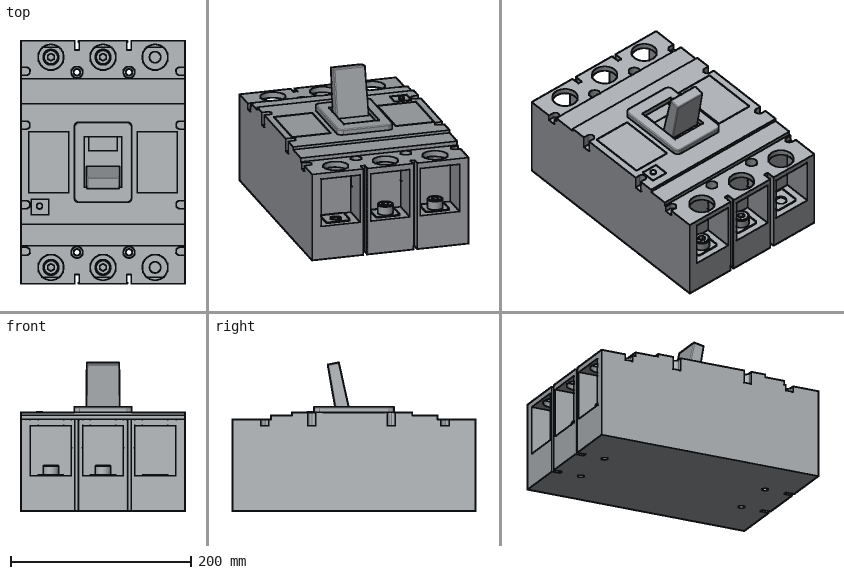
import cadquery as cq

width = 182.0
length = 270
half_width = width / 2
half_length = length / 2

terminal_top = 101.8
shoulder_top = 106.5
deck_top = 109.5
top_steps = [
    (terminal_top, -half_length, half_length),
    (shoulder_top, -92.3, 93.0),
    (deck_top, -68.8, 64.8),
]

pole_pitch = 57.8
pole_columns = [-pole_pitch, 0, pole_pitch]
screw_columns = [-pole_pitch, 0]
ends = [-1, 1]
sides = [-1, 1]
terminal_y = 116.6

tunnel_width = 45.4
tunnel_floor = 39.2
tunnel_roof = 95.0
tunnel_depth = 34.0
access_diameter = 28.4

pad_width = 27.8
pad_outer_y = 127.5
pad_inner_y = 102.3
pad_height = 1.0
pad_corner = 2.7
pad_hole_diameter = 12.5
pad_hole_depth = 2.2

screw_diameter = 17.3
screw_height = 12.0
screw_edge = 1.0
socket_diameter = 8.0
socket_depth = 5.5

slot_width = 4.9
slot_depth = 10.3
slot_x = pole_pitch / 2
bead_radius = 0.8

mount_y = 100.0
mount_diameter = 7.0
mount_bore_diameter = 12.7
mount_bore_depth = 31.5

notch_rows = [-98.8, -47.0, 41.3, 101.0]
notch_width = 9.0
notch_depth = 10.0
notch_corner = 4.3
notch_floor = 95.0

mark_depth = 0.5
label_width = 44.5
label_length = 68.0
label_x = 60.2

indicator_width = 19.5
indicator_length = 17.5
indicator_x = -69.7
indicator_y = -49.7
button_x = -70.5
button_y = -48.5
button_diameter = 6.5
button_top = deck_top + 0.8

bezel_width = 64.3
bezel_length = 89.0
bezel_top = 116.0
bezel_corner = 6.0
bezel_edge = 1.0
window_width = 41.3
window_front = -27.8
window_back = 28.4
window_floor = 110.5
on_mark_width = 31.9
on_mark_length = 15.5
on_mark_depth = 0.14

handle_root_width = 37.5
handle_tip_width = 36.5
handle_edge = 1.0
handle_root_front = -20.2
handle_root_back = -4.5
handle_tip_front = -29.5
handle_tip_back = -16.7
handle_tip_front_z = 162.8
handle_tip_back_z = 165.2


def block(x_size, y_size, bottom, top, x=0, y=0):
    """Upright box centred on (x, y), from height bottom to height top."""
    return (
        cq.Workplane("XY", origin=(x, y, bottom))
        .rect(x_size, y_size)
        .extrude(top - bottom)
    )


def cylinder(diameter, bottom, top, x, y):
    """Upright cylinder centred on (x, y), from height bottom to height top."""
    return cq.Workplane("XY", origin=(x, y, bottom)).circle(diameter / 2).extrude(top - bottom)


def make_stepped_block():
    body = None
    for top, front, back in top_steps:
        step = block(width, back - front, 0, top, y=(front + back) / 2)
        body = step if body is None else body.union(step)
    return body


def add_bezel(body):
    bezel = block(bezel_width, bezel_length, deck_top, bezel_top)
    bezel = bezel.edges("|Z").fillet(bezel_corner).faces(">Z").edges().fillet(bezel_edge)
    window = block(
        window_width,
        window_back - window_front,
        window_floor,
        bezel_top,
        y=(window_front + window_back) / 2,
    )
    on_mark = block(
        on_mark_width,
        on_mark_length,
        window_floor - on_mark_depth,
        window_floor,
        y=window_back - on_mark_length / 2,
    )
    return body.union(bezel).cut(window).cut(on_mark)


def cut_terminals(body):
    """Cuts the open tunnel of each pole and the round access hole above it."""
    for end in ends:
        for x in pole_columns:
            tunnel_y = end * (half_length - tunnel_depth / 2)
            body = body.cut(block(tunnel_width, tunnel_depth, tunnel_floor, tunnel_roof, x, tunnel_y))
            body = body.cut(cylinder(access_diameter, tunnel_roof, terminal_top, x, end * terminal_y))
    return body


def add_pads(body):
    """Adds a contact pad with a screw hole to the floor of each tunnel."""
    pad_top = tunnel_floor + pad_height
    for end in ends:
        for x in pole_columns:
            pad_y = end * (pad_outer_y + pad_inner_y) / 2
            pad = block(pad_width, pad_outer_y - pad_inner_y, tunnel_floor, pad_top, x, pad_y)
            pad = pad.edges("|Z").fillet(pad_corner)
            hole = cylinder(pad_hole_diameter, pad_top - pad_hole_depth, pad_top, x, end * terminal_y)
            body = body.union(pad).cut(hole)
    return body


def add_screws(body):
    """Adds hexagon-socket screw heads, filling the pad holes of the poles that have screws."""
    screw_bottom = tunnel_floor + pad_height - pad_hole_depth
    screw_top = tunnel_floor + screw_height
    for end in ends:
        for x in screw_columns:
            y = end * terminal_y
            screw = cylinder(screw_diameter, screw_bottom, screw_top, x, y)
            screw = screw.faces(">Z").edges().chamfer(screw_edge)
            socket = (
                cq.Workplane("XY", origin=(x, y, screw_top))
                .transformed(rotate=(0, 0, 90))
                .polygon(6, socket_diameter)
                .extrude(-socket_depth)
            )
            body = body.union(screw.cut(socket))
    return body


def cut_slots(body):
    """Cuts the slots between the poles, leaving a bead at the mouth on the middle pole."""
    for end in ends:
        for side in sides:
            slot_y = end * (half_length - slot_depth / 2)
            slot = block(slot_width, slot_depth, 0, terminal_top, side * slot_x, slot_y)
            bead_x = side * (slot_x - slot_width / 2)
            bead_y = end * (half_length - bead_radius)
            bead = cylinder(2 * bead_radius, 0, terminal_top, bead_x, bead_y)
            body = body.cut(slot.cut(bead))
    return body


def cut_mounting_holes(body):
    for end in ends:
        for side in sides:
            x = side * slot_x
            y = end * mount_y
            body = body.cut(cylinder(mount_diameter, 0, terminal_top, x, y))
            bore_floor = terminal_top - mount_bore_depth
            body = body.cut(cylinder(mount_bore_diameter, bore_floor, terminal_top, x, y))
    return body


def cut_notches(body):
    """Cuts the upright notches, each with a rounded inner end, in both long sides."""
    for side in sides:
        for y in notch_rows:
            notch = block(2 * notch_depth, notch_width, notch_floor, deck_top, side * half_width, y)
            body = body.cut(notch.edges("|Z").fillet(notch_corner))
    return body


def add_deck_details(body):
    """Cuts the label recesses and the indicator recess, and adds the button."""
    mark_floor = deck_top - mark_depth
    for side in sides:
        body = body.cut(block(label_width, label_length, mark_floor, deck_top, side * label_x))
    body = body.cut(
        block(indicator_width, indicator_length, mark_floor, deck_top, indicator_x, indicator_y)
    )
    return body.union(cylinder(button_diameter, mark_floor, button_top, button_x, button_y))


def make_housing():
    body = make_stepped_block()
    body = add_bezel(body)
    body = cut_terminals(body)
    body = add_pads(body)
    body = add_screws(body)
    body = cut_slots(body)
    body = cut_mounting_holes(body)
    body = cut_notches(body)
    return add_deck_details(body)


def make_handle():
    """Leaning blade, tapered towards its tip, with all edges rounded except those round its root."""
    side_outline = [
        (handle_root_front, window_floor),
        (handle_tip_front, handle_tip_front_z),
        (handle_tip_back, handle_tip_back_z),
        (handle_root_back, window_floor),
    ]
    front_outline = [
        (-handle_root_width / 2, window_floor),
        (-handle_tip_width / 2, handle_tip_back_z),
        (handle_tip_width / 2, handle_tip_back_z),
        (handle_root_width / 2, window_floor),
    ]
    side_prism = cq.Workplane("YZ").polyline(side_outline).close().extrude(half_width, both=True)
    front_prism = cq.Workplane("XZ").polyline(front_outline).close().extrude(half_length, both=True)
    blade = side_prism.intersect(front_prism)
    return blade.edges("not(<Z)").fillet(handle_edge)


housing = make_housing()
handle = make_handle()

result = cq.Compound.makeCompound([housing.val(), handle.val()])